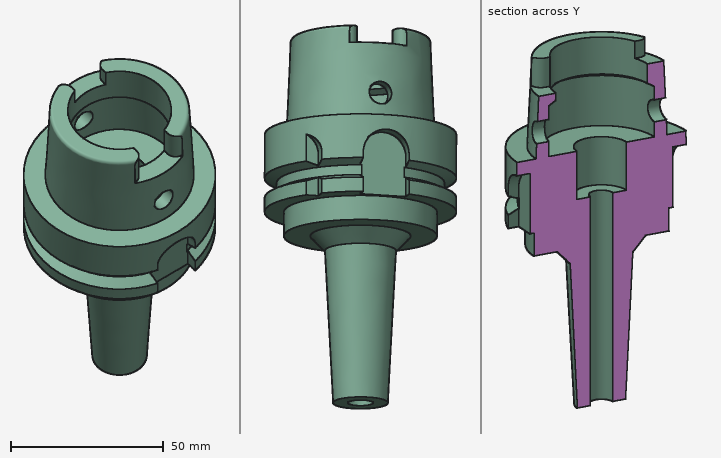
import cadquery as cq
import math

TOTAL_HEIGHT = 122.0

RIM_RADIUS = 22.9
SHANK_BASE_RADIUS = 24.4
RIM_ROUNDING = 1.2
FLANGE_TOP_DEPTH = 32.0

FLANGE_RADIUS = 31.5
GROOVE_RADIUS = 27.6
GROOVE_UPPER_EDGE_DEPTH = 46.6
GROOVE_FLOOR_TOP_DEPTH = 48.2
GROOVE_FLOOR_BOTTOM_DEPTH = 51.5
GROOVE_LOWER_EDGE_DEPTH = 53.2
FLANGE_BOTTOM_DEPTH = 58.0

COLLAR_RADIUS = 25.1
COLLAR_BOTTOM_DEPTH = 66.0
NECK_TOP_RADIUS = 16.5
NOSE_TOP_DEPTH = 71.0
NOSE_TOP_RADIUS = 11.7
NOSE_TIP_RADIUS = 9.0

MOUTH_RADIUS = 17.0
MOUTH_DEPTH = 12.9
UNDERCUT_RADIUS = 19.5
UNDERCUT_CONE_ANGLE = 60.0
CAVITY_DEPTH = 32.0
COUNTERBORE_RADIUS = 9.2
COUNTERBORE_DEPTH = 48.8
THROUGH_HOLE_RADIUS = 4.1

KEYWAY_HALF_WIDTH = 6.3
KEYWAY_LIP_RADIUS = 3.4
KEYWAY_LIP_REACH = 20.9
LEFT_KEYWAY_DEPTH = 6.0
RIGHT_KEYWAY_DEPTH = 10.2

CROSS_HOLE_RADIUS = 3.8
CROSS_HOLE_DEPTH = 22.9

SLOT_HALF_WIDTH = 7.8
SLOT_TOP_DEPTH = 36.8
SLOT_FLOOR_OFFSET = 26.6
NOTCH_RADIUS = 7.3
NOTCH_WALL_OFFSET = 20.1
NOTCH_FLOOR_OFFSET = 20.0

CLEARANCE = 6.1


def level(depth):
    """Height of a plane lying at the given depth below the rim."""
    return TOTAL_HEIGHT - depth


def revolve_steps(steps):
    """Solid of revolution about Z from (radius, depth) pairs, closed on the axis."""
    outline = [(radius, level(depth)) for radius, depth in steps]
    outline = [(0, outline[0][1])] + outline + [(0, outline[-1][1])]
    return cq.Workplane("XZ").polyline(outline).close().revolve(360, (0, 0), (0, 1))


def make_body():
    body = revolve_steps([
        (RIM_RADIUS, 0),
        (SHANK_BASE_RADIUS, FLANGE_TOP_DEPTH),
        (FLANGE_RADIUS, FLANGE_TOP_DEPTH),
        (FLANGE_RADIUS, GROOVE_UPPER_EDGE_DEPTH),
        (GROOVE_RADIUS, GROOVE_FLOOR_TOP_DEPTH),
        (GROOVE_RADIUS, GROOVE_FLOOR_BOTTOM_DEPTH),
        (FLANGE_RADIUS, GROOVE_LOWER_EDGE_DEPTH),
        (FLANGE_RADIUS, FLANGE_BOTTOM_DEPTH),
        (COLLAR_RADIUS, FLANGE_BOTTOM_DEPTH),
        (COLLAR_RADIUS, COLLAR_BOTTOM_DEPTH),
        (NECK_TOP_RADIUS, COLLAR_BOTTOM_DEPTH),
        (NOSE_TOP_RADIUS, NOSE_TOP_DEPTH),
        (NOSE_TIP_RADIUS, TOTAL_HEIGHT),
    ])
    return body.faces(">Z").edges().fillet(RIM_ROUNDING)


def make_bore():
    cone_height = (UNDERCUT_RADIUS - MOUTH_RADIUS) / math.tan(math.radians(UNDERCUT_CONE_ANGLE))
    return revolve_steps([
        (MOUTH_RADIUS, 0),
        (MOUTH_RADIUS, MOUTH_DEPTH),
        (UNDERCUT_RADIUS, MOUTH_DEPTH + cone_height),
        (UNDERCUT_RADIUS, CAVITY_DEPTH),
        (COUNTERBORE_RADIUS, CAVITY_DEPTH),
        (COUNTERBORE_RADIUS, COUNTERBORE_DEPTH),
        (THROUGH_HOLE_RADIUS, COUNTERBORE_DEPTH),
        (THROUGH_HOLE_RADIUS, TOTAL_HEIGHT),
    ])


def make_keyway(side, depth):
    """Rim keyway on the +X (side=1) or -X (side=-1) side, flaring round its lips."""
    lip_start = KEYWAY_LIP_REACH - KEYWAY_LIP_RADIUS
    mouth_half_width = KEYWAY_HALF_WIDTH + KEYWAY_LIP_RADIUS
    arc_x = lip_start + KEYWAY_LIP_RADIUS * math.sin(math.pi / 4)
    arc_y = mouth_half_width - KEYWAY_LIP_RADIUS * math.cos(math.pi / 4)
    outer_x = FLANGE_RADIUS
    return (
        cq.Workplane("XY", origin=(0, 0, level(depth)))
        .moveTo(0, -KEYWAY_HALF_WIDTH)
        .lineTo(side * lip_start, -KEYWAY_HALF_WIDTH)
        .threePointArc((side * arc_x, -arc_y), (side * KEYWAY_LIP_REACH, -mouth_half_width))
        .lineTo(side * outer_x, -mouth_half_width)
        .lineTo(side * outer_x, mouth_half_width)
        .lineTo(side * KEYWAY_LIP_REACH, mouth_half_width)
        .threePointArc((side * arc_x, arc_y), (side * lip_start, KEYWAY_HALF_WIDTH))
        .lineTo(0, KEYWAY_HALF_WIDTH)
        .close()
        .extrude(depth + CLEARANCE)
    )


def make_cross_hole():
    return (
        cq.Workplane("YZ")
        .center(0, level(CROSS_HOLE_DEPTH))
        .circle(CROSS_HOLE_RADIUS)
        .extrude(FLANGE_RADIUS, both=True)
    )


def make_round_topped_cut(side, floor_offset, center_y, half_width):
    """Cutter along X, open at the flange bottom, with a half-round top and a flat floor."""
    arc_level = level(SLOT_TOP_DEPTH) - half_width
    return (
        cq.Workplane("YZ", origin=(side * floor_offset, center_y, 0))
        .moveTo(-half_width, level(FLANGE_BOTTOM_DEPTH))
        .lineTo(-half_width, arc_level)
        .threePointArc((0, arc_level + half_width), (half_width, arc_level))
        .lineTo(half_width, level(FLANGE_BOTTOM_DEPTH))
        .close()
        .extrude(side * (FLANGE_RADIUS + CLEARANCE - floor_offset))
    )


result = make_body().cut(make_bore())
result = result.cut(make_keyway(-1, LEFT_KEYWAY_DEPTH))
result = result.cut(make_keyway(1, RIGHT_KEYWAY_DEPTH))
result = result.cut(make_cross_hole())
for slot_side in (-1, 1):
    result = result.cut(make_round_topped_cut(slot_side, SLOT_FLOOR_OFFSET, 0, SLOT_HALF_WIDTH))
notch_center = NOTCH_WALL_OFFSET + NOTCH_RADIUS
result = result.cut(make_round_topped_cut(-1, NOTCH_FLOOR_OFFSET, notch_center, NOTCH_RADIUS))